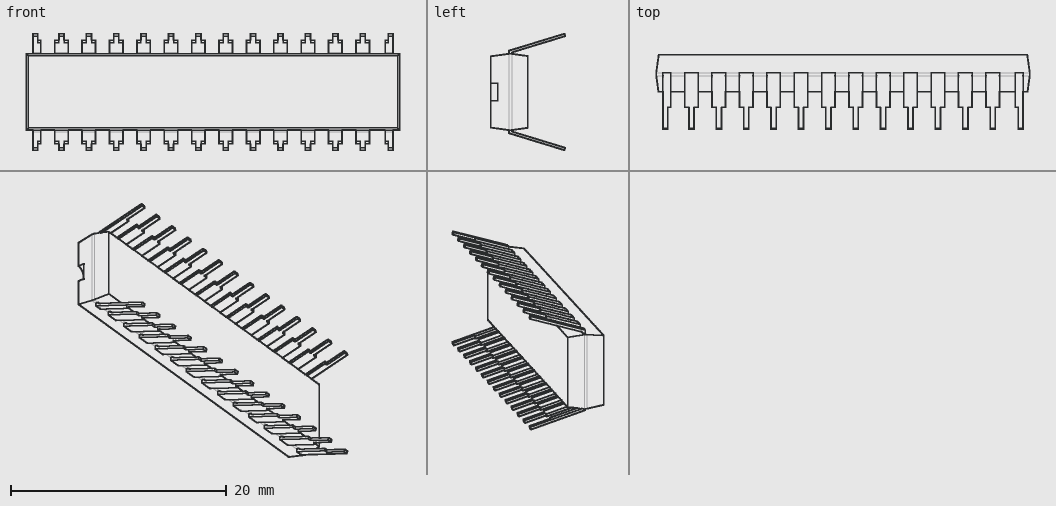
import cadquery as cq
import math

TOTAL_LENGTH = 34.67
TOTAL_DEPTH = 6.91
TOTAL_HEIGHT = 10.82

BODY_HEIGHT = 7.1
BAND_THICKNESS = 0.25
MARKED_HALF_DEPTH = 1.68
PLAIN_HALF_DEPTH = 1.52
DRAFT_ANGLE = 8.0

NOTCH_RADIUS = 0.8
NOTCH_DEPTH = 0.65

INNER_LEADS_PER_ROW = 12
LEAD_PITCH = 2.54
INNER_ROW_CENTER_X = -0.085
WIDE_WIDTH = 1.27
NARROW_WIDTH = 0.5
END_LEADS_SPAN = 33.4
END_WIDE_WIDTH = 0.74
END_NARROW_WIDTH = 0.45
LEAD_THICKNESS = BAND_THICKNESS
LEAD_SPLAY_ANGLE = 17.0
INNER_BEND_RADIUS = 0.2
SHOULDER_Y = -3.2
LEAD_EMBED = 0.5


def body_half(start_y, direction, depth):
    """Tapered block growing from start_y along +Y (direction 1) or -Y (direction -1)."""
    start_plane = cq.Plane(origin=(0, start_y, 0), xDir=(1, 0, 0), normal=(0, direction, 0))
    return (
        cq.Workplane(start_plane)
        .rect(TOTAL_LENGTH, BODY_HEIGHT)
        .extrude(depth, taper=DRAFT_ANGLE)
    )


def make_body():
    band = cq.Workplane("XY").box(TOTAL_LENGTH, BAND_THICKNESS, BODY_HEIGHT)
    band = band.translate((0, -BAND_THICKNESS / 2, 0))
    marked_half = body_half(0, 1, MARKED_HALF_DEPTH)
    plain_half = body_half(-BAND_THICKNESS, -1, PLAIN_HALF_DEPTH)
    return band.union(marked_half).union(plain_half)


def make_notch():
    """Cylinder on the -X edge of the marked face; half of it lies inside the body."""
    face_inset = MARKED_HALF_DEPTH * math.tan(math.radians(DRAFT_ANGLE))
    face_end_x = -TOTAL_LENGTH / 2 + face_inset
    face_plane = cq.Plane(
        origin=(face_end_x, MARKED_HALF_DEPTH, 0), xDir=(1, 0, 0), normal=(0, -1, 0)
    )
    return cq.Workplane(face_plane).circle(NOTCH_RADIUS).extrude(NOTCH_DEPTH)


def make_lead_strip():
    """Upper-row lead section, swept over the whole row length: flat root, then splayed leg."""
    splay = math.radians(LEAD_SPLAY_ANGLE)
    tip_z = TOTAL_HEIGHT / 2
    lowest_y = MARKED_HALF_DEPTH - TOTAL_DEPTH
    outer_tip = (lowest_y + LEAD_THICKNESS * math.sin(splay), tip_z)
    inner_tip = (lowest_y, tip_z - LEAD_THICKNESS * math.cos(splay))
    outer_bend = (0, tip_z + outer_tip[0] * math.tan(splay))
    inner_bend_z = inner_tip[1] - (-LEAD_THICKNESS - lowest_y) * math.tan(splay)
    inner_bend = (-LEAD_THICKNESS, inner_bend_z)
    root_z = BODY_HEIGHT / 2 - LEAD_EMBED
    strip = (
        cq.Workplane("YZ")
        .polyline([
            (0, root_z),
            outer_bend,
            outer_tip,
            inner_tip,
            inner_bend,
            (-LEAD_THICKNESS, root_z),
        ])
        .close()
        .extrude(TOTAL_LENGTH / 2, both=True)
    )
    inner_bend_edge = cq.selectors.NearestToPointSelector((0, *inner_bend))
    return strip.edges("|X").edges(inner_bend_edge).fillet(INNER_BEND_RADIUS)


def slab(x_min, x_max, y_min, y_max):
    """Block spanning the given X and Y range over the full height."""
    return (
        cq.Workplane("XY")
        .box(x_max - x_min, y_max - y_min, TOTAL_HEIGHT)
        .translate(((x_min + x_max) / 2, (y_min + y_max) / 2, 0))
    )


def stepped_blank(wide_span, narrow_span):
    """Lead outline, wide near the body and narrow from the shoulder to the tip."""
    wide = slab(*wide_span, SHOULDER_Y, MARKED_HALF_DEPTH)
    narrow = slab(*narrow_span, -TOTAL_DEPTH, MARKED_HALF_DEPTH)
    return wide.union(narrow)


def make_inner_blank(index):
    """Lead with a shoulder on both sides; index counts from the -X inner lead."""
    x = INNER_ROW_CENTER_X + (index - (INNER_LEADS_PER_ROW - 1) / 2) * LEAD_PITCH
    return stepped_blank(
        (x - WIDE_WIDTH / 2, x + WIDE_WIDTH / 2),
        (x - NARROW_WIDTH / 2, x + NARROW_WIDTH / 2),
    )


def make_left_end_blank():
    """Lead at the -X end, straight outside and with a shoulder only on its inner side."""
    outer_x = -END_LEADS_SPAN / 2
    return stepped_blank(
        (outer_x, outer_x + END_WIDE_WIDTH),
        (outer_x, outer_x + END_NARROW_WIDTH),
    )


def add_leads(part):
    left_end = make_left_end_blank()
    blanks = [left_end, left_end.mirror("YZ")]
    for index in range(INNER_LEADS_PER_ROW):
        blanks.append(make_inner_blank(index))
    strip = make_lead_strip()
    for blank in blanks:
        upper_lead = strip.intersect(blank)
        lower_lead = upper_lead.mirror("XY")
        part = part.union(upper_lead).union(lower_lead)
    return part


result = add_leads(make_body().cut(make_notch()))